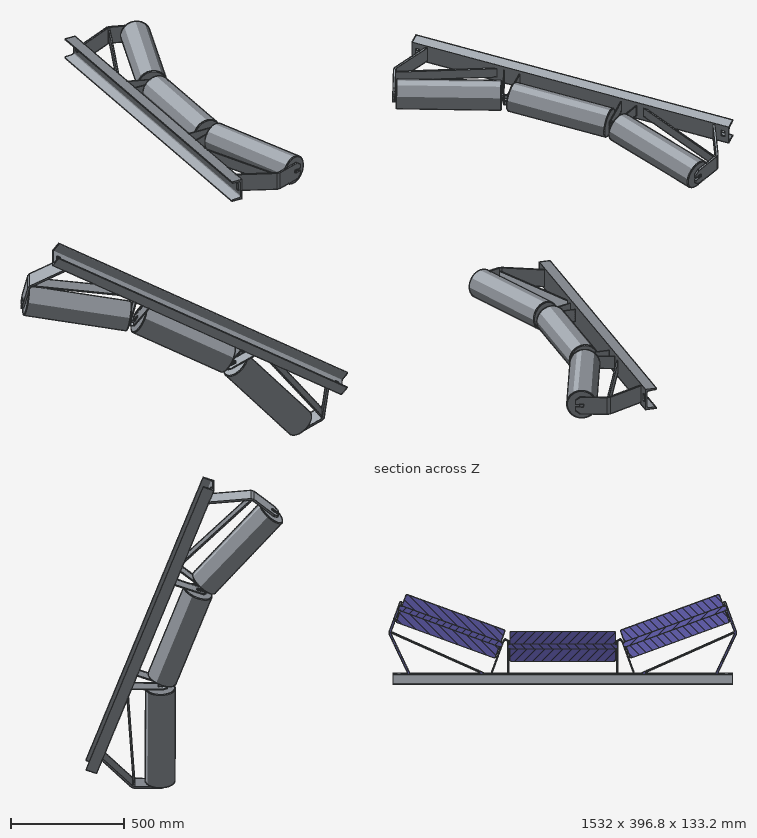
import cadquery as cq
import math


OVERALL_LENGTH = 1532.0

BEAM_LENGTH = 1500.0
BEAM_WIDTH = 98.0
BEAM_DEPTH = 50.0
WEB = 6.9
FLANGE_TIP = 7.2
FLANGE_ROOT = 10.0
ROOT_FILLET = 8.0
TIP_FILLET = 5.0
FOOT_Y = BEAM_DEPTH - WEB / 2

SLOT_LENGTH = 18.0
SLOT_WIDTH = 34.0
SLOT_CORNER = 5.0
SLOT_X = 723.0

ROLLER_RADIUS = 66.6
ROLLER_LENGTH = 465.0
ROLLER_CHAMFER = 3.8
SHAFT_RADIUS = 10.0
FLAT_WIDTH = 14.0

MIDDLE_ROLLER_Y = 167.0
SIDE_ROLLER_X = 495.0
SIDE_ROLLER_Y = 256.0
TROUGH_ANGLE = 20.0

STRIP_WIDTH = 80.0
ROLLER_GAP = 5.4
INNER_THICKNESS = 5.0
OUTER_THICKNESS = 9.0
SHAFT_LENGTH = ROLLER_LENGTH + 2 * (ROLLER_GAP + INNER_THICKNESS)
INNER_REACH = ROLLER_LENGTH / 2 + ROLLER_GAP + INNER_THICKNESS / 2
OUTER_REACH = ROLLER_LENGTH / 2 + ROLLER_GAP + OUTER_THICKNESS / 2
SHAFT_SLOT_HEIGHT = 61.0

SADDLE_WIDTH = 58.0
SADDLE_SHOULDER = 14.0
SADDLE_POST_Y = 191.0
RIDGE_X = 255.0
RIDGE_Y = 199.0

BRACKET_FOOT_X = 679.0
BRACKET_LOWER_BEND_Y = 220.0
BRACKET_TOP = 28.0
TOP_CHAMFER_HEIGHT = 21.0
TOP_CHAMFER_WIDTH = 15.0

BRACE_WIDTH = 50.0
BRACE_THICKNESS = 6.9
BRACE_FOOT_X = 348.0
BRACE_TOP_Y = 231.0


def place_roller_part(part, side):
    """Moves a part built around the X axis to the left (-1), middle (0) or right (1) roller."""
    height = SIDE_ROLLER_Y if side else MIDDLE_ROLLER_Y
    turned = part.rotate((0, 0, 0), (0, 0, 1), side * TROUGH_ANGLE)
    return turned.translate((side * SIDE_ROLLER_X, height, 0))


def right_roller_point(along, up):
    """X and Y of a point given along the right roller's axis and square to it, from the roller's centre."""
    angle = math.radians(TROUGH_ANGLE)
    x = SIDE_ROLLER_X + along * math.cos(angle) - up * math.sin(angle)
    y = SIDE_ROLLER_Y + along * math.sin(angle) + up * math.cos(angle)
    return (x, y)


def x_cylinder(radius, length):
    """Cylinder around the X axis, centred on the origin."""
    return cq.Workplane("YZ", origin=(-length / 2, 0, 0)).circle(radius).extrude(length)


def mirrored_pair(part):
    return part.union(part.mirror("YZ"))


def strip_side(path, offset):
    """Points of a polyline parallel to the path, at the offset to its left."""
    headings = [math.atan2(b[1] - a[1], b[0] - a[0]) for a, b in zip(path, path[1:])]
    before = headings[:1] + headings
    after = headings + headings[-1:]
    points = []
    for (x, y), start, end in zip(path, before, after):
        normal = (start + end + math.pi) / 2
        reach = offset / math.cos((end - start) / 2)
        points.append((x + reach * math.cos(normal), y + reach * math.sin(normal)))
    return points


def bent_strip(path, thickness, width):
    """Flat bar bent along a path of X, Y points on its middle surface, centred on Z = 0."""
    left = strip_side(path, thickness / 2)
    right = strip_side(path, -thickness / 2)
    outline = left + right[::-1]
    return cq.Workplane("XY").polyline(outline).close().extrude(width / 2, both=True)



def make_beam():
    half = BEAM_WIDTH / 2
    web_bottom = BEAM_DEPTH - WEB
    root = half - FLANGE_ROOT
    tip = half - FLANGE_TIP
    outline = [
        (BEAM_DEPTH, half), (0, half), (0, tip), (web_bottom, root),
        (web_bottom, -root), (0, -tip), (0, -half), (BEAM_DEPTH, -half),
    ]
    beam = cq.Workplane("YZ").polyline(outline).close().extrude(BEAM_LENGTH / 2, both=True)
    roots = [(0, web_bottom, root), (0, web_bottom, -root)]
    tips = [(0, 0, tip), (0, 0, -tip)]
    for corners, radius in ((roots, ROOT_FILLET), (tips, TIP_FILLET)):
        for corner in corners:
            beam = beam.edges(cq.NearestToPointSelector(corner)).fillet(radius)
    slots = (
        cq.Workplane("XZ", origin=(0, BEAM_DEPTH, 0))
        .pushPoints([(-SLOT_X, 0), (SLOT_X, 0)])
        .rect(SLOT_LENGTH, SLOT_WIDTH)
        .extrude(WEB)
        .edges("|Y")
        .fillet(SLOT_CORNER)
    )
    return beam.cut(slots)


def make_saddle():
    """Right-hand saddle: post beside the middle roller, ridge, and leg leaning with the right roller."""
    angle = math.radians(TROUGH_ANGLE)
    shoulder = right_roller_point(-INNER_REACH, SADDLE_SHOULDER)
    leg_foot_x = shoulder[0] + (shoulder[1] - FOOT_Y) * math.tan(angle)
    path = [
        (INNER_REACH, FOOT_Y), (INNER_REACH, SADDLE_POST_Y), (RIDGE_X, RIDGE_Y),
        shoulder, (leg_foot_x, FOOT_Y),
    ]
    return bent_strip(path, INNER_THICKNESS, SADDLE_WIDTH)


def make_outer_bracket():
    """Right-hand bracket: leaning leg, short upright bend, and plate square to the right roller."""
    angle = math.radians(TROUGH_ANGLE)
    bend_x = (OVERALL_LENGTH - OUTER_THICKNESS) / 2
    top = right_roller_point(OUTER_REACH, BRACKET_TOP)
    upper_bend_y = top[1] - (bend_x - top[0]) / math.tan(angle)
    path = [
        (BRACKET_FOOT_X, FOOT_Y), (bend_x, BRACKET_LOWER_BEND_Y), (bend_x, upper_bend_y), top,
    ]
    bracket = bent_strip(path, OUTER_THICKNESS, STRIP_WIDTH)
    return bracket.cut(top_corner_cutter())


def top_corner_cutter():
    """Wedges that bevel the two upper corners of the right outer bracket."""
    top = BRACKET_TOP
    half = STRIP_WIDTH / 2
    wedges = cq.Workplane("YZ", origin=(OUTER_REACH, 0, 0))
    for sign in (-1, 1):
        wedges = wedges.polyline([
            (top - TOP_CHAMFER_HEIGHT, sign * half),
            (top, sign * half),
            (top, sign * (half - TOP_CHAMFER_WIDTH)),
        ]).close()
    return place_roller_part(wedges.extrude(OUTER_THICKNESS, both=True), 1)


def make_brace():
    bend_x = (OVERALL_LENGTH - OUTER_THICKNESS) / 2
    path = [(BRACE_FOOT_X, FOOT_Y), (bend_x, BRACE_TOP_Y)]
    return bent_strip(path, BRACE_THICKNESS, BRACE_WIDTH)


def make_shaft_slots():
    """Cutter for the open slots that hold both ends of one shaft, around the X axis."""
    bar = x_cylinder(SHAFT_RADIUS, 2 * (OUTER_REACH + OUTER_THICKNESS))
    opening = cq.Workplane("XY").box(
        2 * (OUTER_REACH + OUTER_THICKNESS), SHAFT_SLOT_HEIGHT, FLAT_WIDTH, centered=(True, False, True)
    )
    return bar.intersect(flat_slab()).union(opening).cut(between_roller_faces())


def make_frame():
    supports = make_saddle().union(make_outer_bracket())
    frame = make_beam().union(mirrored_pair(supports.union(make_brace())))
    for side in (-1, 0, 1):
        frame = frame.cut(place_roller_part(make_shaft_slots(), side))
    return frame



def flat_slab():
    """Slab between the two flats of a shaft end."""
    return cq.Workplane("XY").box(2 * SHAFT_LENGTH, 2 * SHAFT_SLOT_HEIGHT, FLAT_WIDTH)


def between_roller_faces():
    """Block as long as a roller, that takes in its full thickness."""
    return cq.Workplane("XY").box(ROLLER_LENGTH, 2 * ROLLER_RADIUS, 2 * ROLLER_RADIUS)


def make_roller():
    roller = x_cylinder(ROLLER_RADIUS, ROLLER_LENGTH).faces("<X or >X").chamfer(ROLLER_CHAMFER)
    return roller.cut(x_cylinder(SHAFT_RADIUS, ROLLER_LENGTH))


def make_shaft():
    """Round shaft whose two ends, outside the roller, have a pair of flats."""
    shaft = x_cylinder(SHAFT_RADIUS, SHAFT_LENGTH)
    round_part = shaft.intersect(between_roller_faces())
    return round_part.union(shaft.intersect(flat_slab()))


frame = make_frame()
rollers = [place_roller_part(make_roller(), side) for side in (-1, 0, 1)]
shafts = [place_roller_part(make_shaft(), side) for side in (-1, 0, 1)]

bodies = [frame] + rollers + shafts
result = cq.Compound.makeCompound([body.val() for body in bodies])